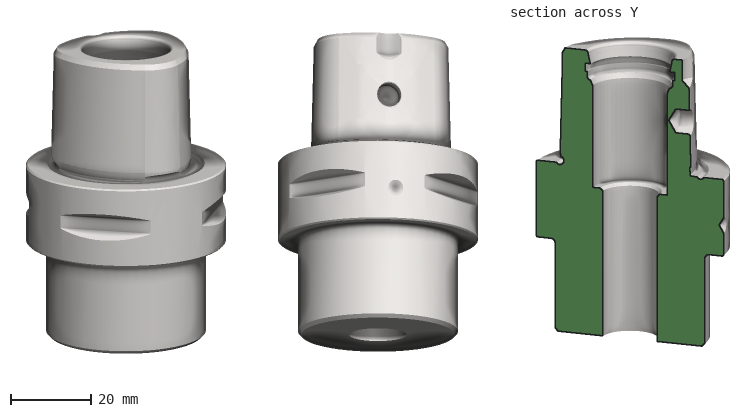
import cadquery as cq
import math

TOTAL_HEIGHT = 74.0
FLANGE_BOTTOM = 24.0
FLANGE_TOP = 44.0
SHANK_BASE = 46.25

BODY_RADIUS = 40.0 / 2
BODY_CHAMFER = 0.9
UNDERSIDE_FILLET = 1.0
FLANGE_RADIUS = 50.0 / 2
FLANGE_EDGE_CHAMFER = 0.4

LOBE_ANGLES = (0, 120, 240)
LOBE_CENTRE_RADIUS = 8.4
SHANK_WIDTH = 35.0
LOBE_RADIUS = 10.3
SHANK_TAPER = 1 / 40
SHANK_CHAMFER_HEIGHT = 1.3
SHANK_CHAMFER_INSET = 0.75
NECK_STEP = 0.2
NECK_FLARE = 0.3

GROOVE_CENTRE_RADIUS = 18.7
GROOVE_TUBE_RADIUS = 1.0
GROOVE_CENTRE_Z = 44.55

THROUGH_RADIUS = 14.35 / 2
THROUGH_CHAMFER = 0.75
SEAT_Z = 38.5
SEAT_BORE_RADIUS = 9.9
CONE_BOTTOM = 65.0
COUNTERBORE_RADIUS = 21.0 / 2
CONE_TOP = 66.3
COUNTERBORE_FILLET = 0.8
RECESS_RADIUS = 23.8 / 2
RECESS_BOTTOM = 68.45
RECESS_TOP = 70.45
LIP_RADIUS = 10.5
MOUTH_RADIUS = 24.0 / 2
MOUTH_ROUND = 0.9

NOTCH_ANGLES = (45, 135, 225, 315)
NOTCH_Z = 34.1
NOTCH_FLOOR_DISTANCE = 22.2
NOTCH_FLOOR_HEIGHT = 3.5
NOTCH_FLANK_ANGLE = 30
NOTCH_FILLET = 0.4

DIMPLE_DIAMETER = 4.0
DIMPLE_Z = 32.05
CROSS_HOLE_DIAMETER = 6.1
CROSS_HOLE_Z = 57.95
CROSS_HOLE_BOTTOM_X = -12.2
CROSS_HOLE_RIM_DIAMETER = 6.95
CROSS_HOLE_RIM_X = -16.1
DRILL_POINT_ANGLE = 118
KEYWAY_RADIUS = 4.0
KEYWAY_AXIS_X = -17.9
KEYWAY_BOTTOM = 68.7


def polar(radius, degrees):
    angle = math.radians(degrees)
    return radius * math.cos(angle), radius * math.sin(angle)


def lobed_outline(z, inset):
    """Constant-width three-lobed outline, shrunk evenly by the inset."""
    lobe_radius = LOBE_RADIUS - inset
    side_radius = SHANK_WIDTH - LOBE_RADIUS - inset

    def on_arc(centre_angle, radius, direction):
        cx, cy = polar(LOBE_CENTRE_RADIUS, centre_angle)
        dx, dy = polar(radius, direction)
        return cx + dx, cy + dy

    outline = cq.Workplane("XY").workplane(offset=z).moveTo(*on_arc(0, lobe_radius, -30))
    for lobe in LOBE_ANGLES:
        opposite = lobe + 240
        outline = outline.threePointArc(on_arc(lobe, lobe_radius, lobe), on_arc(lobe, lobe_radius, lobe + 30))
        outline = outline.threePointArc(
            on_arc(opposite, side_radius, lobe + 60), on_arc(opposite, side_radius, lobe + 90)
        )
    return outline.close().wire().val()


def lobed_solid(z_bottom, inset_bottom, z_top, inset_top):
    wires = [lobed_outline(z_bottom, inset_bottom), lobed_outline(z_top, inset_top)]
    return cq.Workplane(cq.Solid.makeLoft(wires, True))


def make_body():
    cylinder = cq.Workplane("XY").circle(BODY_RADIUS).extrude(FLANGE_BOTTOM)
    cylinder = cylinder.faces("<Z").chamfer(BODY_CHAMFER)
    flange = (
        cq.Workplane("XY").workplane(offset=FLANGE_BOTTOM)
        .circle(FLANGE_RADIUS).extrude(FLANGE_TOP - FLANGE_BOTTOM)
        .edges().chamfer(FLANGE_EDGE_CHAMFER)
    )
    underside = cq.selectors.NearestToPointSelector((0, 0, FLANGE_BOTTOM))
    inner_edge = cq.selectors.RadiusNthSelector(0)
    return cylinder.union(flange).faces(underside).edges(inner_edge).fillet(UNDERSIDE_FILLET)


def make_shank():
    chamfer_z = TOTAL_HEIGHT - SHANK_CHAMFER_HEIGHT
    chamfer_inset = (chamfer_z - SHANK_BASE) * SHANK_TAPER
    neck_z = FLANGE_TOP + NECK_FLARE
    taper = lobed_solid(SHANK_BASE, 0, chamfer_z, chamfer_inset)
    tip = lobed_solid(chamfer_z, chamfer_inset, TOTAL_HEIGHT, chamfer_inset + SHANK_CHAMFER_INSET)
    neck = lobed_solid(neck_z, NECK_STEP, SHANK_BASE, NECK_STEP)
    flare = lobed_solid(FLANGE_TOP, 0, neck_z, NECK_STEP)
    return taper.union(tip).union(neck).union(flare)


def ring_groove():
    return cq.Workplane(
        cq.Solid.makeTorus(GROOVE_CENTRE_RADIUS, GROOVE_TUBE_RADIUS, cq.Vector(0, 0, GROOVE_CENTRE_Z))
    )


def bore():
    """Stepped bore with a rounded, flared mouth, an inner recess and a filleted counterbore floor."""
    mouth_throat = MOUTH_RADIUS - MOUTH_ROUND
    counterbore_wall = COUNTERBORE_RADIUS + COUNTERBORE_FILLET
    return (
        cq.Workplane("XZ")
        .lineTo(THROUGH_RADIUS, 0)
        .lineTo(THROUGH_RADIUS, SEAT_Z - THROUGH_CHAMFER)
        .lineTo(THROUGH_RADIUS + THROUGH_CHAMFER, SEAT_Z)
        .lineTo(SEAT_BORE_RADIUS, SEAT_Z)
        .lineTo(SEAT_BORE_RADIUS, CONE_BOTTOM)
        .lineTo(COUNTERBORE_RADIUS, CONE_TOP)
        .radiusArc((counterbore_wall, CONE_TOP + COUNTERBORE_FILLET), -COUNTERBORE_FILLET)
        .lineTo(counterbore_wall, RECESS_BOTTOM)
        .lineTo(RECESS_RADIUS, RECESS_BOTTOM)
        .lineTo(RECESS_RADIUS, RECESS_TOP)
        .lineTo(LIP_RADIUS, RECESS_TOP)
        .lineTo(mouth_throat, TOTAL_HEIGHT - MOUTH_ROUND)
        .radiusArc((MOUTH_RADIUS, TOTAL_HEIGHT), MOUTH_ROUND)
        .lineTo(0, TOTAL_HEIGHT)
        .close()
        .revolve(360, (0, 0), (0, 1))
    )


def gripper_notch(angle):
    """Flat-floored notch with sloping flanks, cut straight across the rim."""
    depth = FLANGE_RADIUS - NOTCH_FLOOR_DISTANCE
    half_floor = NOTCH_FLOOR_HEIGHT / 2
    half_mouth = half_floor + depth * math.tan(math.radians(NOTCH_FLANK_ANGLE))
    return (
        cq.Workplane("XZ")
        .polyline([
            (NOTCH_FLOOR_DISTANCE, NOTCH_Z - half_floor),
            (FLANGE_RADIUS, NOTCH_Z - half_mouth),
            (FLANGE_RADIUS, NOTCH_Z + half_mouth),
            (NOTCH_FLOOR_DISTANCE, NOTCH_Z + half_floor),
        ])
        .close()
        .extrude(FLANGE_RADIUS, both=True)
        .faces("<X").edges("|Y").fillet(NOTCH_FILLET)
        .rotate((0, 0, 0), (0, 0, 1), angle)
    )


def cone_height(radius):
    return radius / math.tan(math.radians(DRILL_POINT_ANGLE / 2))


def cone(radius, height, origin, direction):
    return cq.Workplane(cq.Solid.makeCone(radius, 0, height, cq.Vector(*origin), cq.Vector(*direction)))


def dimple():
    radius = DIMPLE_DIAMETER / 2
    return cone(radius, cone_height(radius), (-FLANGE_RADIUS, 0, DIMPLE_Z), (1, 0, 0))


def cross_hole():
    """Drilled blind hole with a pointed bottom and a small 45 degree rim."""
    radius = CROSS_HOLE_DIAMETER / 2
    rim_radius = CROSS_HOLE_RIM_DIAMETER / 2
    hole = cq.Workplane("YZ").workplane(offset=CROSS_HOLE_BOTTOM_X).center(0, CROSS_HOLE_Z)
    hole = hole.circle(radius).extrude(-FLANGE_RADIUS)
    point = cone(radius, cone_height(radius), (CROSS_HOLE_BOTTOM_X, 0, CROSS_HOLE_Z), (1, 0, 0))
    rim = cone(rim_radius, rim_radius, (CROSS_HOLE_RIM_X, 0, CROSS_HOLE_Z), (1, 0, 0))
    return hole.union(point).union(rim)


def keyway():
    slot = (
        cq.Workplane("XY", origin=(KEYWAY_AXIS_X, 0, KEYWAY_BOTTOM))
        .circle(KEYWAY_RADIUS).extrude(TOTAL_HEIGHT - KEYWAY_BOTTOM)
    )
    point = cone(KEYWAY_RADIUS, KEYWAY_RADIUS, (KEYWAY_AXIS_X, 0, KEYWAY_BOTTOM), (0, 0, -1))
    return slot.union(point)


result = make_body().union(make_shank())
result = result.cut(ring_groove()).cut(bore())
for notch_angle in NOTCH_ANGLES:
    result = result.cut(gripper_notch(notch_angle))
result = result.cut(dimple()).cut(cross_hole()).cut(keyway())